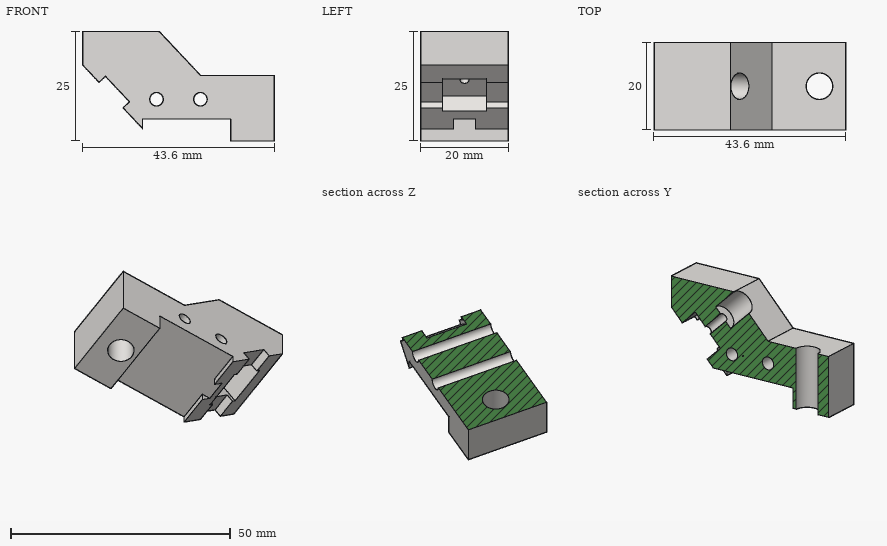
import cadquery as cq
import math

length = 43.65
width = 20.0
height = 25.0

top_length = 17.42
shelf_length = 16.8
shelf_height = 15.0
nose_height = 17.3
foot_length = 10.0
foot_height = 5.0
underside_length = 20.0

channel_start = 5.4
channel_length = 7.95
channel_depth = 2.0
pocket_size = 10.0
pocket_depth = 5.0
pocket_center = 9.4
lip_notch_width = 5.0

shelf_hole_diameter = 6.0
shelf_hole_inset = 6.03
cross_hole_diameter = 3.0
cross_hole_height = 9.5
cross_hole_first_x = 16.8
cross_hole_spacing = 10.0
bolt_hole_diameter = 2.0
counterbore_diameter = 6.0
counterbore_depth = 7.0

ramp_foot_x = length - shelf_length
ramp_run = ramp_foot_x - top_length
ramp_rise = height - shelf_height
slope = math.atan2(ramp_rise, ramp_run)
foot_x = length - foot_length
lip_x = foot_x - underside_length
lip_height = nose_height - lip_x * math.tan(slope)

slab_thickness = (
    top_length * math.sin(slope) + (height - nose_height) * math.cos(slope)
)

lower_face = cq.Plane(
    origin=(0, 0, nose_height),
    xDir=(math.cos(slope), 0, -math.sin(slope)),
    normal=(math.sin(slope), 0, math.cos(slope)),
)


def make_body():
    """Extrude the side profile across the width, centred on Y."""
    outline = [
        (0, nose_height),
        (0, height),
        (top_length, height),
        (ramp_foot_x, shelf_height),
        (length, shelf_height),
        (length, 0),
        (foot_x, 0),
        (foot_x, foot_height),
        (lip_x, foot_height),
        (lip_x, lip_height),
    ]
    return cq.Workplane("XZ").polyline(outline).close().extrude(width / 2, both=True)


def make_face_recess(center, recess_length, recess_width, depth):
    """Rectangular cutter sunk square into the sloped lower face."""
    return (
        cq.Workplane(lower_face)
        .center(center, 0)
        .rect(recess_length, recess_width)
        .extrude(depth)
    )


def make_lip_notch():
    """Cutter that opens the middle of the lip up to the underside."""
    return cq.Workplane("XY").rect(2 * lip_x, lip_notch_width).extrude(foot_height)


def make_bolt_hole():
    """Counterbored hole from the ramp into the pocket, square to the slope."""
    axis = cq.Workplane(lower_face).center(pocket_center, 0)
    bolt = axis.circle(bolt_hole_diameter / 2).extrude(slab_thickness)
    counterbore = (
        axis.workplane(offset=slab_thickness - counterbore_depth)
        .circle(counterbore_diameter / 2)
        .extrude(2 * counterbore_depth)
    )
    return bolt.union(counterbore)


def make_shelf_hole():
    return (
        cq.Workplane("XY")
        .center(length - shelf_hole_inset, 0)
        .circle(shelf_hole_diameter / 2)
        .extrude(height)
    )


def make_cross_holes():
    centers = [
        (cross_hole_first_x, cross_hole_height),
        (cross_hole_first_x + cross_hole_spacing, cross_hole_height),
    ]
    return (
        cq.Workplane("XZ")
        .pushPoints(centers)
        .circle(cross_hole_diameter / 2)
        .extrude(width, both=True)
    )


channel_center = channel_start + channel_length / 2
result = (
    make_body()
    .cut(make_face_recess(channel_center, channel_length, width, channel_depth))
    .cut(make_face_recess(pocket_center, pocket_size, pocket_size, pocket_depth))
    .cut(make_lip_notch())
    .cut(make_bolt_hole())
    .cut(make_shelf_hole())
    .cut(make_cross_holes())
)